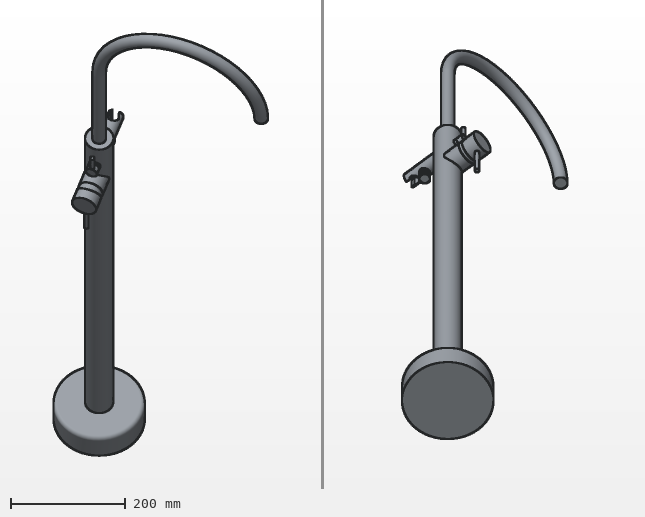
import cadquery as cq

BASE_DIAMETER = 160.0
BASE_HEIGHT = 51.0
BASE_EDGE_RADIUS = 7.0
COLUMN_DIAMETER = 50.0
COLUMN_TOP = 850.0

TOTAL_HEIGHT = 1212.0
TOTAL_LENGTH = 391.0
PIPE_DIAMETER = 24.0
OUTLET_X = TOTAL_LENGTH - (BASE_DIAMETER + PIPE_DIAMETER) / 2
BEND_RADIUS = OUTLET_X / 2
BEND_Z = TOTAL_HEIGHT - PIPE_DIAMETER / 2 - BEND_RADIUS

MIXER_DIAMETER = 45.0
MIXER_Z = 751.0
MIXER_STUB_REACH = 45.0
MIXER_NECK_DIAMETER = 44.0
MIXER_CAP_START = 52.0
MIXER_RELIEF = 7.0
MIXER_END = 80.0
MIXER_LEVER_Y = -68.0
MIXER_LEVER_DIAMETER = 8.0
MIXER_LEVER_BOTTOM = 671.0

FITTING_Z = 800.0
DIVERTER_DIAMETER = 20.0
DIVERTER_BOSS_REACH = 29.0
DIVERTER_END = 41.0
DIVERTER_LEVER_DIAMETER = 8.0
DIVERTER_LEVER_Y = -36.0
DIVERTER_LEVER_TOP = 837.0

HOLDER_DIAMETER = 28.0
TOTAL_DEPTH = 170.0
HOLDER_END = TOTAL_DEPTH - BASE_DIAMETER / 2
HOLDER_SLOT_WIDTH = 13.0
HOLDER_SEAT_DIAMETER = 18.0
HOLDER_SEAT_Y = 76.0
HOSE_OUTLET_DIAMETER = 19.0
HOSE_OUTLET_Y = 53.0
HOSE_OUTLET_BOTTOM = 768.0
GROOVE_DIAMETER = 17.0
GROOVE_WIDTH = 4.0
GROOVE_BOTTOMS = (771.0, 778.0)


def upright(diameter, bottom, top, y=0):
    """Vertical cylinder between two heights."""
    return cq.Workplane("XY", origin=(0, y, bottom)).circle(diameter / 2).extrude(top - bottom)


def forward(diameter, z, start, end):
    """Cylinder toward -Y between two distances from the column axis."""
    return cq.Workplane("XZ", origin=(0, -start, z)).circle(diameter / 2).extrude(end - start)


def make_base():
    base = upright(BASE_DIAMETER, 0, BASE_HEIGHT)
    return base.faces(">Z").edges().fillet(BASE_EDGE_RADIUS)


def make_column():
    column = upright(COLUMN_DIAMETER, BASE_HEIGHT, COLUMN_TOP)
    mixer_stub = forward(MIXER_DIAMETER, MIXER_Z, 0, MIXER_STUB_REACH)
    diverter_boss = forward(DIVERTER_DIAMETER, FITTING_Z, 0, DIVERTER_BOSS_REACH)
    return column.union(mixer_stub).union(diverter_boss)


def make_spout():
    path = (
        cq.Workplane("XZ", origin=(0, 0, COLUMN_TOP))
        .lineTo(0, BEND_Z - COLUMN_TOP)
        .radiusArc((OUTLET_X, BEND_Z - COLUMN_TOP), BEND_RADIUS)
    )
    return cq.Workplane("XY", origin=(0, 0, COLUMN_TOP)).circle(PIPE_DIAMETER / 2).sweep(path)


def make_mixer_handle():
    radius = MIXER_DIAMETER / 2
    cap = forward(MIXER_DIAMETER, MIXER_Z, MIXER_CAP_START, MIXER_END)
    relief = (
        cq.Workplane("YZ", origin=(0, -MIXER_CAP_START, MIXER_Z))
        .polyline([(0, 0), (0, radius), (-MIXER_RELIEF, radius)])
        .close()
        .extrude(radius, both=True)
    )
    neck = forward(MIXER_NECK_DIAMETER, MIXER_Z, MIXER_STUB_REACH, MIXER_END)
    lever = upright(MIXER_LEVER_DIAMETER, MIXER_LEVER_BOTTOM, MIXER_Z, MIXER_LEVER_Y)
    return cap.cut(relief).union(neck).union(lever)


def make_diverter():
    knob = forward(DIVERTER_DIAMETER, FITTING_Z, DIVERTER_BOSS_REACH, DIVERTER_END)
    lever = upright(DIVERTER_LEVER_DIAMETER, FITTING_Z, DIVERTER_LEVER_TOP, DIVERTER_LEVER_Y)
    return knob.union(lever)


def make_shower_holder():
    arm = forward(HOLDER_DIAMETER, FITTING_Z, -HOLDER_END, 0)
    hose_outlet = upright(HOSE_OUTLET_DIAMETER, HOSE_OUTLET_BOTTOM, FITTING_Z, HOSE_OUTLET_Y)
    for bottom in GROOVE_BOTTOMS:
        ring = upright(HOSE_OUTLET_DIAMETER, bottom, bottom + GROOVE_WIDTH, HOSE_OUTLET_Y)
        core = upright(GROOVE_DIAMETER, bottom, bottom + GROOVE_WIDTH, HOSE_OUTLET_Y)
        hose_outlet = hose_outlet.cut(ring.cut(core))
    bottom = FITTING_Z - HOLDER_DIAMETER / 2
    top = FITTING_Z + HOLDER_DIAMETER / 2
    seat = upright(HOLDER_SEAT_DIAMETER, bottom, top, HOLDER_SEAT_Y)
    slot = cq.Workplane("XY", origin=(0, HOLDER_SEAT_Y, FITTING_Z)).box(
        HOLDER_SLOT_WIDTH, HOLDER_END - HOLDER_SEAT_Y, HOLDER_DIAMETER, centered=(True, False, True)
    )
    column_space = upright(COLUMN_DIAMETER, BASE_HEIGHT, COLUMN_TOP)
    return arm.union(hose_outlet).cut(seat).cut(slot).cut(column_space)


base = make_base()
column = make_column()
spout = make_spout()
mixer_handle = make_mixer_handle()
diverter = make_diverter()
shower_holder = make_shower_holder()

result = cq.Compound.makeCompound([
    base.val(),
    column.val(),
    spout.val(),
    mixer_handle.val(),
    diverter.val(),
    shower_holder.val(),
])